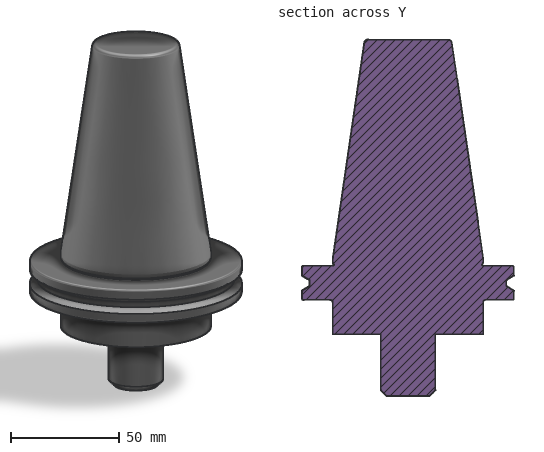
import cadquery as cq
import math

total_height = 165.1
gauge_z = 63.5
land_bottom_z = 61.7
flange_top_z = 60.5
flange_bottom_z = 44.4
boss_bottom_z = 28.5

flange_radius = 98.4 / 2
groove_radius = 91.3 / 2
gauge_radius = 69.8 / 2
boss_radius = gauge_radius
pin_radius = 25.5 / 2

taper_ratio = 7 / 24
tip_radius = gauge_radius - (total_height - gauge_z) * taper_ratio / 2
tip_fillet = 2.0

groove_center_z = 52.3
groove_floor_width = 2.6
groove_mouth_width = 7.0
cut_clearance = 1.7
base_inset = 0.8
base_radius = gauge_radius - base_inset
rim_fillet = 1.0
root_fillet = 1.0
pin_chamfer = 2.8


def revolve_profile(points):
    """Revolve a closed (radius, height) outline about the Z axis."""
    profile = cq.Workplane("XZ").polyline(points).close()
    return profile.revolve(360, (0, 0, 0), (0, 1, 0))


def make_taper():
    """Shank cone with a rounded small end, a short land and a base tapering inward to the flange."""
    shank = revolve_profile([
        (0, flange_top_z),
        (base_radius, flange_top_z),
        (gauge_radius, land_bottom_z),
        (gauge_radius, gauge_z),
        (tip_radius, total_height),
        (0, total_height),
    ])
    return shank.faces(">Z").edges().fillet(tip_fillet)


def make_flange():
    """Disc with rounded rims and a V-groove around its edge."""
    height = flange_top_z - flange_bottom_z
    disc = cq.Workplane("XY").workplane(offset=flange_bottom_z).circle(flange_radius).extrude(height)
    disc = disc.faces("<Z or >Z").edges().fillet(rim_fillet)
    groove = revolve_profile([
        (groove_radius, groove_center_z - groove_floor_width / 2),
        (flange_radius, groove_center_z - groove_mouth_width / 2),
        (flange_radius + cut_clearance, groove_center_z - groove_mouth_width / 2),
        (flange_radius + cut_clearance, groove_center_z + groove_mouth_width / 2),
        (flange_radius, groove_center_z + groove_mouth_width / 2),
        (groove_radius, groove_center_z + groove_floor_width / 2),
    ])
    return disc.cut(groove)


def make_boss():
    """Plain round boss below the flange."""
    height = flange_bottom_z - boss_bottom_z
    return cq.Workplane("XY").workplane(offset=boss_bottom_z).circle(boss_radius).extrude(height)


def make_pin():
    """Straight pin with a chamfered free end."""
    pin = cq.Workplane("XY").circle(pin_radius).extrude(boss_bottom_z)
    return pin.faces("<Z").edges().chamfer(pin_chamfer)


def make_root_fillet(radius, face_z, direction):
    """Concave ring joining a shaft to a flange face; direction is +1 above the flange, -1 below."""
    overlap = root_fillet
    outer = radius + root_fillet
    shaft_end_z = face_z + direction * root_fillet
    sag = root_fillet * (1 - math.sqrt(0.5))
    profile = (
        cq.Workplane("XZ")
        .moveTo(radius - overlap, face_z)
        .lineTo(outer, face_z)
        .threePointArc((radius + sag, face_z + direction * sag), (radius, shaft_end_z))
        .lineTo(radius - overlap, shaft_end_z)
        .close()
    )
    return profile.revolve(360, (0, 0, 0), (0, 1, 0))


result = (
    make_flange()
    .union(make_taper())
    .union(make_boss())
    .union(make_pin())
    .union(make_root_fillet(base_radius, flange_top_z, 1))
    .union(make_root_fillet(boss_radius, flange_bottom_z, -1))
)